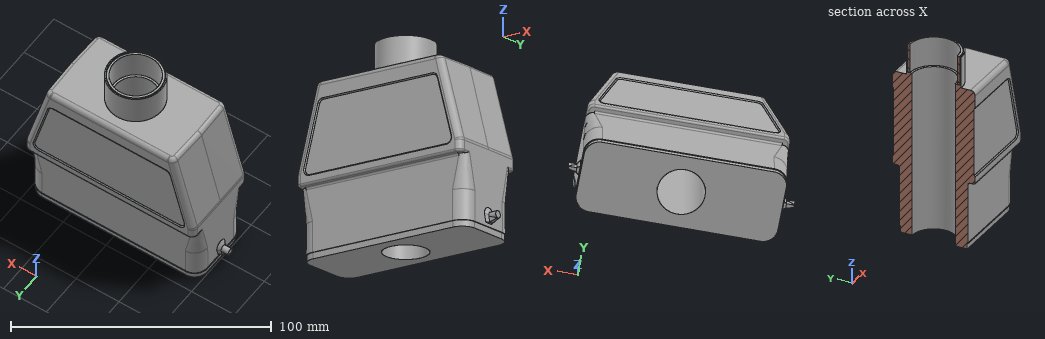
import cadquery as cq
top_z = 83.5
roof_z = 70.0
bend_z = 34.3
shelf_z = 29.05
foot_z = 2.6

hood_width = 36.0
roof_half_length = 30.4
roof_crease = 0.5
bend_half_length = 39.6
corner_radius = 2.65
roof_radius = 2.0
bend_radius = 4.4
shelf_edge_radius = 0.9

skirt_width = 29.8
skirt_half_length = 39.7
skirt_radius_low = 6.2
skirt_radius_high = 2.1
skirt_blend_z = 15.0
skirt_top_z = 32.5
cove_radius = 0.8
cove_end_gap = 3.0
foot_inset = 0.31

panel_bottom_z = 32.6
panel_top_z = 62.6
panel_half_length_low = 36.2
panel_half_length_high = 28.2
panel_corner_radius = 2.65
panel_depth = 0.49
panel_rim_slope = 45

collar_diameter = 24.0
collar_mouth_diameter = 23.0
sleeve_diameter = 22.5
sleeve_bore_diameter = 20.5
cable_hole_diameter = 18.5
sleeve_bottom_z = 71.1

peg_reach = 44.15
peg_z = 6.8
peg_diameter = 3.0
neck_x = 40.9
boss_radius = 2.8
boss_z = 7.6
boss_bottom_z = 4.1
boss_foot_half_width = 1.9
neck_half_width = 1.0
rib_tip_half_width = 0.4
rib_tip_z = 5.4
root_overlap = 0.1


def end_wall_x(z):
    """Half length of the drafted end wall below the bend."""
    draft = (skirt_half_length - bend_half_length) / (bend_z - foot_z)
    return skirt_half_length - draft * (z - foot_z)


def hood_section(y, top_half_length):
    """Outline of the hood in the plane at the given y."""
    bottom_half_length = end_wall_x(shelf_z)
    return cq.Wire.makePolygon(
        [
            cq.Vector(-bottom_half_length, y, shelf_z),
            cq.Vector(bottom_half_length, y, shelf_z),
            cq.Vector(bend_half_length, y, bend_z),
            cq.Vector(top_half_length, y, roof_z),
            cq.Vector(-top_half_length, y, roof_z),
            cq.Vector(-bend_half_length, y, bend_z),
        ],
        close=True,
    )


def make_hood():
    """Upper part: two mirrored halves whose end walls meet in a shallow crease."""
    middle = hood_section(0, roof_half_length)
    side = hood_section(hood_width / 2, roof_half_length - roof_crease)
    half = cq.Workplane(cq.Solid.makeLoft([middle, side], True))
    hood = half.union(half.mirror("XZ"))
    margin = 0.1
    bend_zone = cq.selectors.BoxSelector(
        (-peg_reach, -hood_width, bend_z - margin),
        (peg_reach, hood_width, bend_z + margin),
    )
    hood = hood.edges(bend_zone).fillet(bend_radius)
    hood = hood.faces("<Y or >Y").edges("not |X").fillet(corner_radius)
    hood = hood.faces(">Z").edges().fillet(roof_radius)
    return hood.faces("<Z").edges().fillet(shelf_edge_radius)


def rounded_outline(z, half_length, width, radius):
    """Rectangular wire with rounded corners at height z."""
    corners = [
        cq.Vector(side_x * half_length, side_y * width / 2, z)
        for side_x, side_y in ((-1, -1), (1, -1), (1, 1), (-1, 1))
    ]
    outline = cq.Wire.makePolygon(corners, close=True)
    return outline.fillet2D(radius, outline.Vertices())


def make_skirt():
    """Lower part, whose corner radius shrinks from the foot towards the hood."""
    low, blend, high = [
        rounded_outline(z, end_wall_x(z), skirt_width, radius)
        for z, radius in (
            (foot_z, skirt_radius_low),
            (skirt_blend_z, skirt_radius_low),
            (skirt_top_z, skirt_radius_high),
        )
    ]
    foot_half_length = skirt_half_length - foot_inset
    foot_width = skirt_width - 2 * foot_inset
    foot = cq.Workplane(
        cq.Solid.extrudeLinear(
            rounded_outline(0, foot_half_length, foot_width, skirt_radius_low - foot_inset),
            [],
            cq.Vector(0, 0, foot_z),
        )
    )
    straight = cq.Workplane(cq.Solid.makeLoft([low, blend], True))
    blended = cq.Workplane(cq.Solid.makeLoft([blend, high], True))
    return foot.union(straight).union(blended)


def make_cove(side_y):
    """Concave rounding under the shelf along one long side."""
    wall_y = skirt_width / 2
    half_length = end_wall_x(shelf_z) - cove_end_gap
    cove = (
        cq.Workplane("YZ", origin=(-half_length, 0, 0))
        .moveTo(wall_y, shelf_z)
        .lineTo(wall_y + cove_radius, shelf_z)
        .radiusArc((wall_y, shelf_z - cove_radius), -cove_radius)
        .close()
        .extrude(2 * half_length)
    )
    return cove if side_y > 0 else cove.mirror("XZ")


def make_panel_cut(side_y):
    """Shallow recess with a sloped rim on one long side."""
    face_y = -hood_width / 2
    corners = [
        cq.Vector(-panel_half_length_low, face_y, panel_bottom_z),
        cq.Vector(panel_half_length_low, face_y, panel_bottom_z),
        cq.Vector(panel_half_length_high, face_y, panel_top_z),
        cq.Vector(-panel_half_length_high, face_y, panel_top_z),
    ]
    outline = cq.Wire.makePolygon(corners, close=True)
    outline = outline.fillet2D(panel_corner_radius, outline.Vertices())
    inward = cq.Vector(0, panel_depth, 0)
    recess = cq.Workplane(cq.Solid.extrudeLinear(outline, [], inward, panel_rim_slope))
    return recess if side_y < 0 else recess.mirror("XZ")


def shield_wire(x, radius, center_z, bottom_z, bottom_half_width):
    """Half circle on top of a tapering foot, in the plane at the given x."""
    return (
        cq.Workplane("YZ", origin=(x, 0, 0))
        .moveTo(-bottom_half_width, bottom_z)
        .lineTo(bottom_half_width, bottom_z)
        .lineTo(radius, center_z)
        .threePointArc((0, center_z + radius), (-radius, center_z))
        .close()
        .val()
    )


def make_peg(side_x):
    """Round peg on a flared boss, with a sloping rib below."""
    boss_x = end_wall_x(boss_z) - root_overlap
    root = shield_wire(boss_x, boss_radius, boss_z, boss_bottom_z, boss_foot_half_width)
    neck = shield_wire(neck_x, peg_diameter / 2, peg_z, boss_bottom_z, neck_half_width)
    tip = shield_wire(peg_reach, peg_diameter / 2, peg_z, rib_tip_z, rib_tip_half_width)
    boss = cq.Workplane(cq.Solid.makeLoft([root, neck], True))
    pin = (
        cq.Workplane("YZ", origin=(boss_x, 0, peg_z))
        .circle(peg_diameter / 2)
        .extrude(peg_reach - boss_x)
    )
    rib = cq.Workplane(cq.Solid.makeLoft([neck, tip], True))
    peg = boss.union(rib).union(pin)
    return peg if side_x > 0 else peg.mirror("YZ")


def upright_cylinder(diameter, bottom_z, height):
    """Cylinder on the vertical axis of the cable passage."""
    return cq.Workplane("XY", origin=(0, 0, bottom_z)).circle(diameter / 2).extrude(height)


def make_housing():
    """Hood, skirt, pegs and collar as one solid with the cable passage through it."""
    housing = make_hood().union(make_skirt())
    for side in (-1, 1):
        housing = housing.union(make_cove(side)).cut(make_panel_cut(side)).union(make_peg(side))
    collar = upright_cylinder(collar_diameter, shelf_z, top_z - shelf_z)
    housing = housing.union(collar)
    housing = housing.cut(upright_cylinder(cable_hole_diameter, 0, top_z))
    seat = upright_cylinder(sleeve_diameter, sleeve_bottom_z, top_z - sleeve_bottom_z)
    mouth_chamfer = (collar_mouth_diameter - sleeve_diameter) / 2
    mouth_edge = cq.selectors.RadiusNthSelector(0)
    return housing.cut(seat).faces(">Z").edges(mouth_edge).chamfer(mouth_chamfer)


def make_sleeve():
    """Ring that lines the collar from the ledge up to the rim."""
    height = top_z - sleeve_bottom_z
    sleeve = upright_cylinder(sleeve_diameter, sleeve_bottom_z, height)
    return sleeve.cut(upright_cylinder(sleeve_bore_diameter, sleeve_bottom_z, height))


housing = make_housing()
sleeve = make_sleeve()
result = cq.Compound.makeCompound([housing.val(), sleeve.val()])